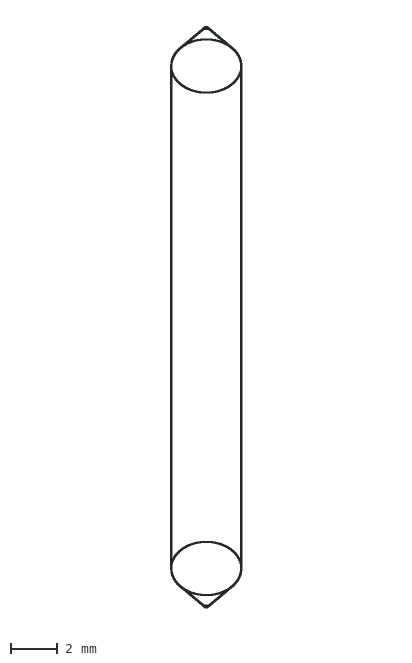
import cadquery as cq
import math

length = 38.0
diameter = 3.0
point_angle = 60.0
tip_diameter = 0.1

radius = diameter / 2
tip_radius = tip_diameter / 2
half_length = length / 2
point_height = (radius - tip_radius) / math.tan(math.radians(point_angle / 2))
shoulder_z = half_length - point_height

result = (
    cq.Workplane("XZ")
    .moveTo(0, -half_length)
    .lineTo(tip_radius, -half_length)
    .lineTo(radius, -shoulder_z)
    .lineTo(radius, shoulder_z)
    .lineTo(tip_radius, half_length)
    .lineTo(0, half_length)
    .close()
    .revolve(360, (0, 0, 0), (0, 1, 0))
)